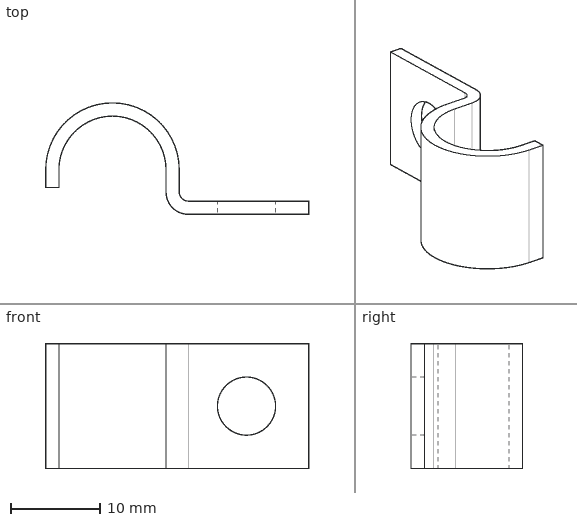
import cadquery as cq
import math

length = 29.5
depth = 12.5
width = 14.0
thickness = 1.5

loop_outer_radius = 7.5
bend_inner_radius = 1.0
free_leg_length = 2.0
hole_diameter = 6.5
hole_to_flange_end = 7.0

loop_inner_radius = loop_outer_radius - thickness
bend_outer_radius = bend_inner_radius + thickness

flange_end_x = length - loop_outer_radius
flange_front_y = loop_outer_radius - depth
flange_back_y = flange_front_y + thickness
bend_center_x = loop_outer_radius + bend_inner_radius
bend_center_y = flange_back_y + bend_inner_radius


def bend_midpoint(radius):
    """Middle of the quarter-circle bend, on its lower left."""
    offset = radius * math.sqrt(0.5)
    return bend_center_x - offset, bend_center_y - offset


def make_strap():
    """Bent strip: free leg, half loop, straight leg, bend and flat flange."""
    profile = (
        cq.Workplane("XY")
        .moveTo(-loop_outer_radius, -free_leg_length)
        .lineTo(-loop_outer_radius, 0)
        .threePointArc((0, loop_outer_radius), (loop_outer_radius, 0))
        .lineTo(loop_outer_radius, bend_center_y)
        .threePointArc(bend_midpoint(bend_inner_radius), (bend_center_x, flange_back_y))
        .lineTo(flange_end_x, flange_back_y)
        .lineTo(flange_end_x, flange_front_y)
        .lineTo(bend_center_x, flange_front_y)
        .threePointArc(bend_midpoint(bend_outer_radius), (loop_inner_radius, bend_center_y))
        .lineTo(loop_inner_radius, 0)
        .threePointArc((0, loop_inner_radius), (-loop_inner_radius, 0))
        .lineTo(-loop_inner_radius, -free_leg_length)
        .close()
    )
    return profile.extrude(width)


def make_hole():
    """Cylinder through the flange, centred across the strap width."""
    return (
        cq.Workplane("XZ", origin=(0, flange_back_y, 0))
        .center(flange_end_x - hole_to_flange_end, width / 2)
        .circle(hole_diameter / 2)
        .extrude(thickness)
    )


result = make_strap().cut(make_hole())